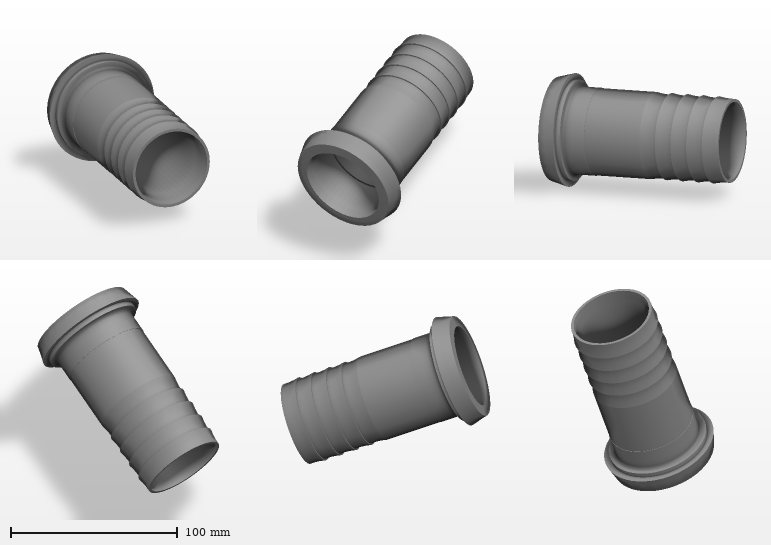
import cadquery as cq
import math

total_length = 113.0
collar_end = 10.8
flange_end = 13.8
sleeve_end = 27.8
barb_count = 5
barb_pitch = 10.0
barbs_start = total_length - barb_count * barb_pitch
counterbore_depth = sleeve_end

collar_diameter = 68.5
flange_diameter = 61.0
sleeve_diameter = 53.0
tube_diameter = 52.5
counterbore_diameter = 50.0
bore_diameter = 47.0

collar_angle = 15.0
face_setback = 0.4
fillet_radius = 2.0
barb_drop = 1.0
barb_arc_radius = 35.0


def revolve_profile(profile):
    """Close a half profile drawn in XY and turn it around the X axis."""
    return profile.close().revolve(360, (0, 0, 0), (1, 0, 0))


def add_barb(profile, start):
    """Draw one barb: a concave arc that falls from the peak and flattens towards its far end."""
    peak = tube_diameter / 2
    end_radius = peak - barb_drop
    half_chord = math.hypot(barb_pitch, barb_drop) / 2
    arc_depth = barb_arc_radius - math.sqrt(barb_arc_radius**2 - half_chord**2)
    chord_angle = math.atan2(barb_drop, barb_pitch)
    middle = (
        start + barb_pitch / 2 - arc_depth * math.sin(chord_angle),
        (peak + end_radius) / 2 - arc_depth * math.cos(chord_angle),
    )
    return profile.lineTo(start, peak).threePointArc(middle, (start + barb_pitch, end_radius))


def make_body():
    """Outer shape: conical collar, flange, sleeve, tube and hose barbs."""
    collar_radius = collar_diameter / 2
    rim_radius = collar_radius - (collar_end - face_setback) * math.tan(math.radians(collar_angle))
    flange_radius = flange_diameter / 2
    sleeve_radius = sleeve_diameter / 2
    fillet_end = flange_end + fillet_radius
    fillet_top = sleeve_radius + fillet_radius
    fillet_inset = fillet_radius * (1 - math.sqrt(0.5))
    fillet_middle = (flange_end + fillet_inset, sleeve_radius + fillet_inset)

    profile = (
        cq.Workplane("XY")
        .moveTo(0, 0)
        .lineTo(0, counterbore_diameter / 2)
        .lineTo(face_setback, rim_radius)
        .lineTo(collar_end, collar_radius)
        .lineTo(collar_end, flange_radius)
        .lineTo(flange_end, flange_radius)
        .lineTo(flange_end, fillet_top)
        .threePointArc(fillet_middle, (fillet_end, sleeve_radius))
        .lineTo(sleeve_end, sleeve_radius)
        .lineTo(sleeve_end, tube_diameter / 2)
    )
    for index in range(barb_count):
        profile = add_barb(profile, barbs_start + index * barb_pitch)
    profile = profile.lineTo(total_length, 0)
    return revolve_profile(profile)


def cut_bore(body):
    """Through bore with a wider counterbore at the collar end."""
    bore = cq.Workplane("YZ").circle(bore_diameter / 2).extrude(total_length)
    counterbore = cq.Workplane("YZ").circle(counterbore_diameter / 2).extrude(counterbore_depth)
    return body.cut(bore).cut(counterbore)


result = cut_bore(make_body())